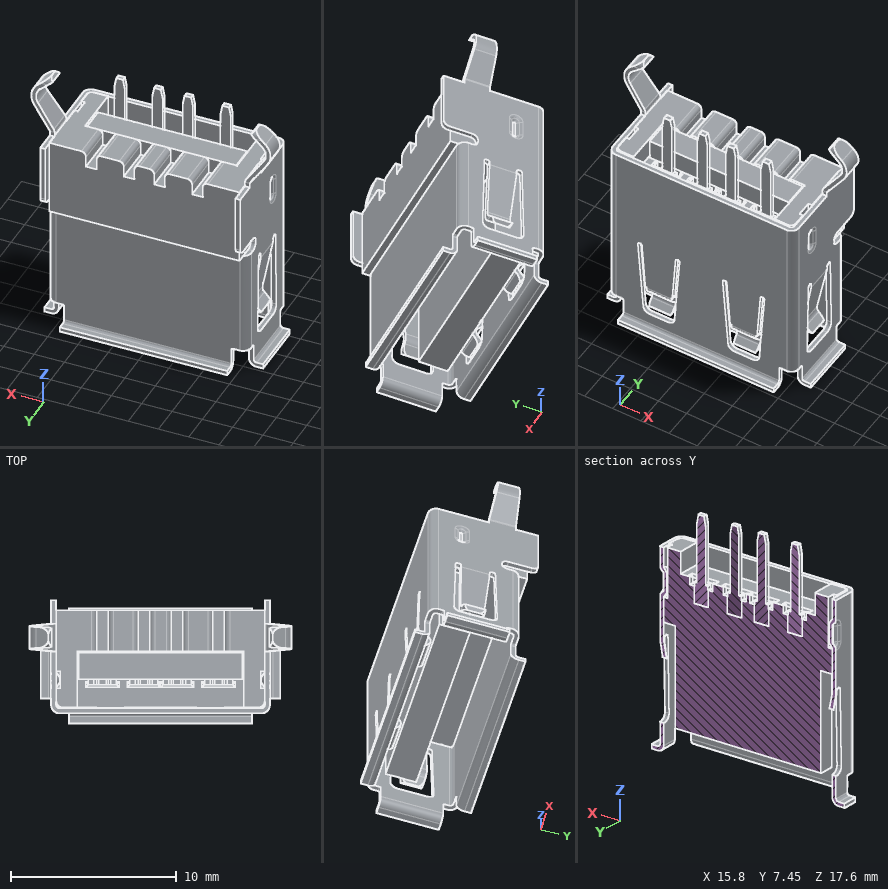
import cadquery as cq
import math


SHEET = 0.32
SHELL_HALF_X = 6.6
SHELL_HALF_Y = 2.87
SHELL_BEND = 0.53
SHELL_BASE_Z = 1.58
SHELL_TOP_Z = 13.62
INNER_X = SHELL_HALF_X - SHEET
INNER_Y = SHELL_HALF_Y - SHEET

REAR_WALL_TOP_Z = 8.62
WING_BACK_Y = 3.96
WING_CORNER = 0.4
SLOT_TOP_Z = 9.5
SLOT_END_Y = 1.67
SLOT_ROUND = 0.39

LIP_REACH = 0.62
LIP_BEND = 0.18
LIP_NOTCH_ROUND = 0.1
LONG_LIP_HALF = 5.53
SHORT_LIP_HALF = 1.97

FRONT_SPRING_X = 3.01
FRONT_BEND_Z = 3.41

SIDE_BEND_Z = 7.4

CLIP_Y = 1.7
CLIP_ROOT_Z = 13.94
CLIP_TIP_Z = 17.6
CLIP_ROUND = 1.05

DIMPLE_Y = -0.85
DIMPLE_Z = 11.32
DIMPLE_WIDTH = 0.92
DIMPLE_LENGTH = 1.97
DIMPLE_DEPTH = 0.26
DIMPLE_FLOOR = 0.14
DIMPLE_LIP_ROUND = 0.3
DIMPLE_BUMP = 0.21
BUMP_TAPER = 55.0

HOUSING_TOP_Z = 13.7
HOUSING_FRONT_Y = -2.52
HOUSING_BACK_Y = 3.36
HOUSING_CORNER = 0.39
RECESS_HALF_X = 5.02
RECESS_BACK_Y = 0.88
RECESS_FLOOR_Z = 12.21
TONGUE_HALF_X = 5.45
TONGUE_FRONT_Y = -1.94
TONGUE_BOTTOM_Z = 1.83
GROOVE_WIDTH = 0.7
GROOVE_DEPTH = 1.05
GROOVE_ROUND = 0.32
NOTCH_DEPTH = 0.25
NOTCH_WIDTH = 1.02

BLOCK_CLEARANCE = 0.09
BLOCK_FRONT_Y = -0.81

PIN_X = (-3.5, -1.0, 1.0, 3.5)
PIN_WIDTH = 0.69
PIN_THICKNESS = 0.32
PIN_TOP_Z = 16.5
PIN_TAPER_Z = 15.88
PIN_TIP_WIDTH = 0.44
FOOT_WIDTH = 1.04
FOOT_HEIGHT = 1.4
POCKET_WIDTH = 1.69
POCKET_DEPTH = 0.53
POCKET_CHAMFER = 0.15


def corner_arc(before, corner, after, radius):
    """Start, middle and end of the arc that rounds a corner."""
    corner = cq.Vector(*corner)
    back = (cq.Vector(*before) - corner).normalized()
    ahead = (cq.Vector(*after) - corner).normalized()
    half_angle = back.getAngle(ahead) / 2
    setback = radius / math.tan(half_angle)
    bisector = (back + ahead).normalized()
    middle = corner + bisector * (radius / math.sin(half_angle) - radius)
    return [(p.x, p.y) for p in (corner + back * setback, middle, corner + ahead * setback)]


def rounded_outline(plane, corners):
    """Closed outline through (u, v, radius) corners; a zero radius leaves the corner sharp."""
    pieces = []
    for i, (u, v, radius) in enumerate(corners):
        before = corners[i - 1][:2]
        after = corners[(i + 1) % len(corners)][:2]
        pieces.append(corner_arc(before, (u, v), after, radius) if radius else [(u, v)])
    outline = cq.Workplane(plane).moveTo(*pieces[0][-1])
    for piece in pieces[1:]:
        outline = outline.lineTo(*piece[0])
        if len(piece) == 3:
            outline = outline.threePointArc(piece[1], piece[2])
    if len(pieces[0]) == 3:
        outline = outline.lineTo(*pieces[0][0]).threePointArc(pieces[0][1], pieces[0][2])
    return outline.close()


def bent_strip(path, half_width):
    """Sheet-metal strip whose outer face follows (outward, z, bend radius) points from top to bottom.

    The strip is centred on X = 0, outward is -Y, and the sheet lies on the inner side of the path.
    """
    points = [cq.Vector(-outward, z) for outward, z, _ in path]
    runs = [(end - start).normalized() for start, end in zip(points, points[1:])]
    sides = [cq.Vector(-run.y, run.x) for run in runs]
    inner_face = []
    for i, (point, (_, _, radius)) in enumerate(zip(points, path)):
        first = sides[max(i - 1, 0)]
        second = sides[min(i, len(sides) - 1)]
        offset = (first + second) * (SHEET / (1 + first.dot(second)))
        inner_radius = 0
        if radius:
            turn = runs[i - 1].cross(runs[i]).z
            inner_radius = radius - math.copysign(SHEET, turn)
        inner_face.append((point.x + offset.x, point.y + offset.y, inner_radius))
    outer_face = [(-outward, z, radius) for outward, z, radius in path]
    return rounded_outline("YZ", outer_face + inner_face[::-1]).extrude(half_width, both=True)


def wall_prism(corners):
    """Prism along Y, through a wall at Y = 0, from (x, z, radius) corners."""
    return rounded_outline("XZ", corners).extrude(4 * SHEET, both=True)


def mirrored(half):
    """Mirror-symmetric corners from those with positive u, listed from bottom to top."""
    return half + [(-u, v, radius) for u, v, radius in half[::-1]]


def on_front(feature):
    return feature.translate((0, -SHELL_HALF_Y, 0))


def on_back(feature):
    return on_front(feature).rotate((0, 0, 0), (0, 0, 1), 180)


def on_left(feature):
    """Turn a feature with outward -Y to face -X and set it on the left wall."""
    return feature.rotate((0, 0, 0), (0, 0, 1), -90).translate((-SHELL_HALF_X, 0, 0))


def channel(back_y, bottom_z, top_z):
    """Rounded rectangular tube from the front wall to back_y."""
    depth = back_y + SHELL_HALF_Y
    outer = (
        cq.Workplane("XY", origin=(0, back_y - depth / 2, bottom_z))
        .rect(2 * SHELL_HALF_X, depth)
        .extrude(top_z - bottom_z)
        .edges("|Z").fillet(SHELL_BEND)
    )
    inner = (
        cq.Workplane("XY", origin=(0, back_y - depth / 2, bottom_z))
        .rect(2 * INNER_X, depth - 2 * SHEET)
        .extrude(top_z - bottom_z)
        .edges("|Z").fillet(SHELL_BEND - SHEET)
    )
    return outer.cut(inner)


def shell_walls():
    """Closed tube below and open-backed channel above, with a slot between wing and rear wall."""
    lower = channel(SHELL_HALF_Y, SHELL_BASE_Z, REAR_WALL_TOP_Z)
    beyond_back = WING_BACK_Y + 2 * SHELL_BEND
    upper = channel(beyond_back, REAR_WALL_TOP_Z, SHELL_TOP_Z)
    slot_front = rounded_outline("YZ", [
        (SLOT_END_Y, REAR_WALL_TOP_Z, SLOT_ROUND),
        (beyond_back, REAR_WALL_TOP_Z, 0),
        (beyond_back, SHELL_TOP_Z, 0),
        (WING_BACK_Y, SHELL_TOP_Z, 0),
        (WING_BACK_Y, SLOT_TOP_Z, WING_CORNER),
        (SLOT_END_Y, SLOT_TOP_Z, SLOT_ROUND),
    ]).extrude(2 * SHELL_HALF_X, both=True)
    return lower.union(upper.cut(slot_front))


def lip(half_width):
    """Wall end bent outward into a horizontal lip, flaring into the tube's lower edge."""
    flared_half = half_width + 2 * LIP_NOTCH_ROUND
    root_z = SHELL_BASE_Z + SHEET
    strip = bent_strip([(0, root_z, 0), (0, SHEET, LIP_BEND), (LIP_REACH, SHEET, 0)], flared_half)
    return strip.intersect(wall_prism(mirrored([
        (half_width, 0, 0),
        (half_width, SHELL_BASE_Z, LIP_NOTCH_ROUND),
        (flared_half, SHELL_BASE_Z, 0),
        (flared_half, root_z, 0),
    ])))


def front_spring_window():
    return wall_prism(mirrored([
        (1.07, 1.28, 0.45),
        (1.5, 6.95, 0.14),
        (1.2, 6.95, 0.14),
        (0.95, FRONT_BEND_Z, 0),
    ]))


def front_spring():
    """Tongue that kinks inward and flares back out at its rounded tip."""
    strip = bent_strip([
        (0, FRONT_BEND_Z + 0.18, 0),
        (0, FRONT_BEND_Z - 0.28, 0.63),
        (-0.7, 2.46, 0.32),
        (-0.1, 1.81, 0),
    ], SHELL_HALF_X / 4)
    return strip.intersect(wall_prism(mirrored([(0.8, 1.57, 0.45), (0.88, 3.6, 0)])))


def side_spring_window():
    return wall_prism(mirrored([
        (1.37, 1.97, 0.45),
        (1.25, 7.73, 0.15),
        (0.92, 7.73, 0.15),
        (0.9, SIDE_BEND_Z, 0),
    ]))


def side_spring():
    """Tongue leaning inward, with its rounded tip flared back out."""
    strip = bent_strip([
        (0, SIDE_BEND_Z + 0.18, 0),
        (0, SIDE_BEND_Z, 0),
        (-0.67, 3.78, 0.44),
        (-0.07, 3.15, 0),
    ], SHELL_HALF_X / 4)
    return strip.intersect(wall_prism(mirrored([(0.7, 2.89, 0.53), (0.92, 7.75, 0)])))


def clip():
    """Tapered spring arm above the left wall, bent outward and then back in over the shell."""
    strip = bent_strip([
        (0.15, CLIP_TIP_Z, 0),
        (1.65, 16.32, CLIP_ROUND),
        (0, CLIP_ROOT_Z, 0.09),
        (0, SHELL_TOP_Z - 0.18, 0),
    ], SHELL_HALF_X / 4)
    side_outline = rounded_outline("XZ", mirrored([
        (0.85, SHELL_TOP_Z - 0.18, 0),
        (0.85, CLIP_ROOT_Z, 0),
        (0.58, CLIP_TIP_Z, 0.5),
    ])).extrude(SHELL_HALF_X, both=True)
    return on_left(strip.intersect(side_outline)).translate((0, CLIP_Y, 0))


def dimple_bump():
    """Tapered stadium-shaped bump on the inside of the left wall."""
    return (
        cq.Workplane("YZ", origin=(-INNER_X, DIMPLE_Y, DIMPLE_Z))
        .slot2D(DIMPLE_LENGTH, DIMPLE_WIDTH, 90)
        .extrude(DIMPLE_BUMP, taper=BUMP_TAPER)
    )


def dimple_hollow():
    """Stadium-shaped hollow in the left wall's outer face, with 45-degree walls and a rounded rim."""
    floor_half = DIMPLE_FLOOR / 2
    half_section = [
        (floor_half, DIMPLE_DEPTH, 0),
        (floor_half + DIMPLE_DEPTH, 0, DIMPLE_LIP_ROUND),
        (DIMPLE_WIDTH / 2 + SHEET, 0, 0),
        (DIMPLE_WIDTH / 2 + SHEET, -SHEET, 0),
    ]
    axis_ends = [(0, -SHEET, 0), (0, DIMPLE_DEPTH, 0)]
    half_straight = (DIMPLE_LENGTH - DIMPLE_WIDTH) / 2
    hollow = rounded_outline("XY", mirrored(half_section)).extrude(half_straight, both=True)
    for end_z in (-half_straight, half_straight):
        bowl = rounded_outline("XY", half_section + axis_ends).revolve(360, (0, 0), (0, 1))
        hollow = hollow.union(bowl.translate((0, 0, end_z)))
    return on_left(hollow).translate((0, DIMPLE_Y, DIMPLE_Z))


def left_side(shell):
    """Cut and add the features of the left wall."""
    shell = shell.cut(on_left(side_spring_window()))
    shell = shell.union(on_left(side_spring())).union(clip()).union(on_left(lip(SHORT_LIP_HALF)))
    shell = shell.union(dimple_bump())
    return shell.cut(dimple_hollow())


def make_shell():
    shell = shell_walls().union(on_front(lip(LONG_LIP_HALF))).union(on_back(lip(LONG_LIP_HALF)))
    for side in (-1, 1):
        shift = (side * FRONT_SPRING_X, 0, 0)
        shell = shell.cut(on_front(front_spring_window()).translate(shift))
        shell = shell.union(on_front(front_spring()).translate(shift))
    for _ in range(2):
        shell = left_side(shell).mirror("YZ")
    return shell


def box(x_range, y_range, z_range):
    spans = [high - low for low, high in (x_range, y_range, z_range)]
    corner = (x_range[0], y_range[0], z_range[0])
    return cq.Workplane("XY", origin=corner).box(*spans, centered=False)


def symmetric(half):
    return (-half, half)


def housing_body():
    """Main block with a rear shelf on the shell's rear wall and a tongue hanging below."""
    body = box(symmetric(INNER_X), (HOUSING_FRONT_Y, HOUSING_BACK_Y), (REAR_WALL_TOP_Z, HOUSING_TOP_Z))
    body = body.edges("|Z and <Y").fillet(HOUSING_CORNER)
    tongue = box(symmetric(TONGUE_HALF_X), (TONGUE_FRONT_Y, 0), (TONGUE_BOTTOM_Z, REAR_WALL_TOP_Z))
    return body.union(tongue)


def groove(x):
    """Rear channel with convexly rounded upper edges."""
    half = GROOVE_WIDTH / 2
    floor_z = HOUSING_TOP_Z - GROOVE_DEPTH
    round_z = HOUSING_TOP_Z - GROOVE_ROUND
    mouth = half + GROOVE_ROUND
    dip = GROOVE_ROUND * (1 - math.sqrt(0.5))
    return (
        cq.Workplane("XZ", origin=(x, HOUSING_BACK_Y, 0))
        .moveTo(-half, floor_z)
        .lineTo(half, floor_z)
        .lineTo(half, round_z)
        .threePointArc((half + dip, HOUSING_TOP_Z - dip), (mouth, HOUSING_TOP_Z))
        .lineTo(-mouth, HOUSING_TOP_Z)
        .threePointArc((-half - dip, HOUSING_TOP_Z - dip), (-half, round_z))
        .close()
        .extrude(HOUSING_BACK_Y - RECESS_BACK_Y)
    )


def pin_pocket(x):
    """Chamfered pocket in the recess floor around a pin."""
    half = POCKET_WIDTH / 2
    front_y = BLOCK_FRONT_Y - PIN_THICKNESS
    floor_z = RECESS_FLOOR_Z - POCKET_DEPTH
    pocket = box((x - half, x + half), (front_y, BLOCK_FRONT_Y), (floor_z, RECESS_FLOOR_Z))
    flare = (
        cq.Workplane("XY", origin=(x, front_y, RECESS_FLOOR_Z))
        .rect(2 * (half + POCKET_CHAMFER), 2 * POCKET_CHAMFER)
        .workplane(offset=-POCKET_CHAMFER)
        .rect(2 * half, 0.002)
        .loft(ruled=True)
    )
    return pocket.union(flare)


def dimple_notch(side):
    """Groove down a housing side that clears the shell's dimple."""
    outer = side * INNER_X
    inner = outer - side * NOTCH_DEPTH
    y_range = (DIMPLE_Y - NOTCH_WIDTH / 2, DIMPLE_Y + NOTCH_WIDTH / 2)
    bottom_z = DIMPLE_Z - DIMPLE_LENGTH / 2
    return box((min(outer, inner), max(outer, inner)), y_range, (bottom_z, HOUSING_TOP_Z))


def make_housing(pins):
    housing = housing_body()
    housing = housing.cut(
        box(symmetric(RECESS_HALF_X), (HOUSING_FRONT_Y, RECESS_BACK_Y), (RECESS_FLOOR_Z, HOUSING_TOP_Z))
    )
    for x, pin in zip(PIN_X, pins):
        housing = housing.cut(groove(x)).cut(pin_pocket(x)).cut(pin)
    for side in (-1, 1):
        housing = housing.cut(dimple_notch(side))
    return housing


def make_block():
    """Plain block filling the rear of the recess, with a narrow gap at its back and ends."""
    return box(
        symmetric(RECESS_HALF_X - BLOCK_CLEARANCE),
        (BLOCK_FRONT_Y, RECESS_BACK_Y - BLOCK_CLEARANCE),
        (RECESS_FLOOR_Z, SHELL_TOP_Z),
    )


def make_pin(x):
    """Flat pin with a tapered tip and a wider foot set in the housing."""
    foot_top_z = RECESS_FLOOR_Z - POCKET_DEPTH / 2
    half_profile = [
        (FOOT_WIDTH / 2, foot_top_z - FOOT_HEIGHT, 0),
        (FOOT_WIDTH / 2, foot_top_z, 0),
        (PIN_WIDTH / 2, foot_top_z, 0),
        (PIN_WIDTH / 2, PIN_TAPER_Z, 0),
        (PIN_TIP_WIDTH / 2, PIN_TOP_Z, 0),
    ]
    profile = rounded_outline("XZ", mirrored(half_profile))
    return profile.extrude(PIN_THICKNESS).translate((x, BLOCK_FRONT_Y, 0))


shell = make_shell()
pins = [make_pin(x) for x in PIN_X]
housing = make_housing(pins)
block = make_block()

result = cq.Compound.makeCompound([shell.val(), housing.val(), block.val(), *[pin.val() for pin in pins]])